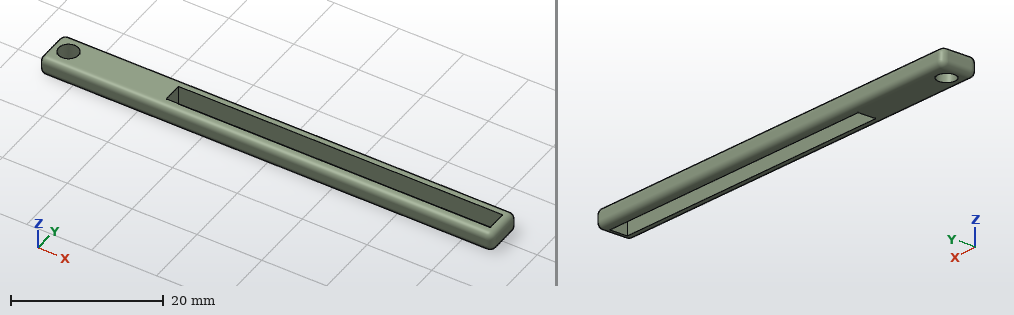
import cadquery as cq

length = 70.0
width = 6.0
thickness = 3.0
edge_radius = 1.0

slot_width = 3.0
slot_length = 50.0
slot_end_wall = 1.25
hole_diameter = 3.0
hole_from_end = 2.7

slot_center_x = length / 2 - slot_end_wall - slot_length / 2
hole_center_x = -length / 2 + hole_from_end

bar = cq.Workplane("XY").box(length, width, thickness).edges().fillet(edge_radius)

slot = cq.Workplane("XY").center(slot_center_x, 0).rect(slot_length, slot_width).extrude(thickness, both=True)

hole = cq.Workplane("XY").center(hole_center_x, 0).circle(hole_diameter / 2).extrude(thickness, both=True)

result = bar.cut(slot).cut(hole)